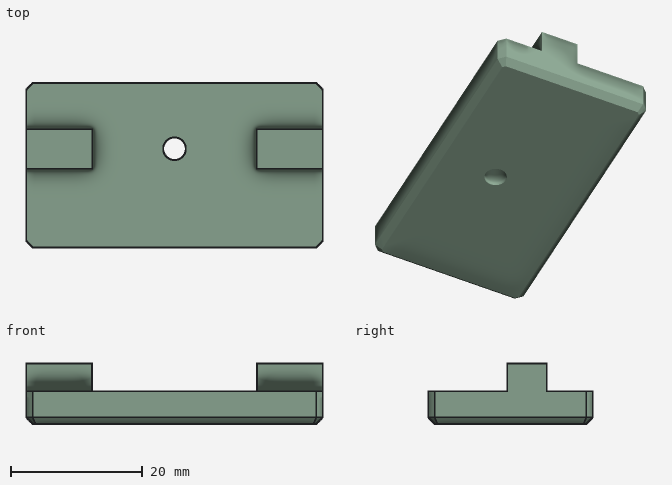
import cadquery as cq

plate_length = 45.0
plate_width = 25.0
plate_thickness = 5.0
edge_chamfer = 1.0

total_height = 9.2
block_length = 10.0
block_width = 6.0
block_height = total_height - plate_thickness

feature_line_y = 2.5
hole_diameter = 3.4


def make_plate():
    """Plate with its underside at Z = 0, chamfered at the corners and around the bottom."""
    plate = cq.Workplane("XY").box(
        plate_length, plate_width, plate_thickness, centered=(True, True, False)
    )
    plate = plate.edges("|Z").chamfer(edge_chamfer)
    return plate.faces("<Z").edges().chamfer(edge_chamfer)


def make_blocks():
    """Two identical blocks at opposite ends of the plate."""
    block_x = (plate_length - block_length) / 2
    return (
        cq.Workplane("XY", origin=(0, feature_line_y, plate_thickness))
        .pushPoints([(-block_x, 0), (block_x, 0)])
        .rect(block_length, block_width)
        .extrude(block_height)
    )


def make_hole():
    """Cutter for the screw hole through the plate."""
    return (
        cq.Workplane("XY", origin=(0, feature_line_y, 0))
        .circle(hole_diameter / 2)
        .extrude(plate_thickness)
    )


result = make_plate().union(make_blocks()).cut(make_hole())